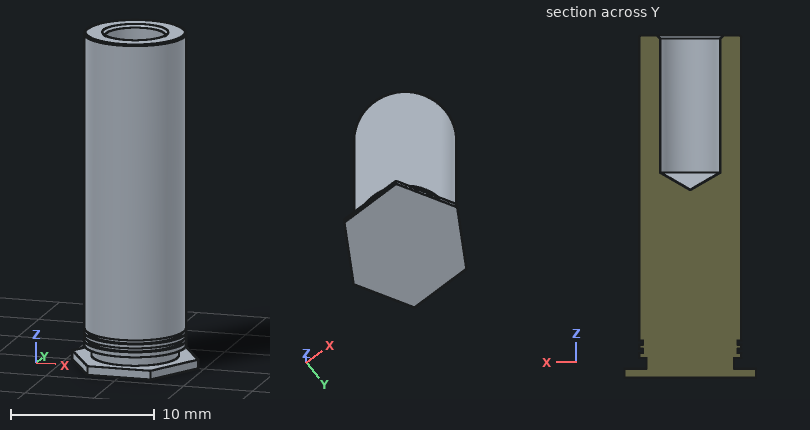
import cadquery as cq
import math

total_height = 23.8
body_diameter = 7.12
rim_chamfer = 0.1

hex_across_flats = 7.93
hex_thickness = 0.65

neck_diameter = 6.1
neck_top = 1.38
groove_diameter = 6.6
groove_width = 0.29
groove_pitch = 0.57
groove_count = 2
first_groove_bottom = 1.75

bore_diameter = 4.17
bore_depth = 9.52
bore_chamfer = 0.21
drill_point_angle = 120.0


def make_head():
    across_corners = hex_across_flats / math.cos(math.pi / 6)
    return cq.Workplane("XY").polygon(6, across_corners).extrude(hex_thickness)


def make_body():
    """Neck and barrel, with the outer top edge chamfered."""
    neck = cq.Workplane("XY").circle(neck_diameter / 2).extrude(neck_top)
    barrel = (
        cq.Workplane("XY", origin=(0, 0, neck_top))
        .circle(body_diameter / 2)
        .extrude(total_height - neck_top)
        .faces(">Z")
        .chamfer(rim_chamfer)
    )
    return neck.union(barrel)


def make_groove(bottom):
    return (
        cq.Workplane("XY", origin=(0, 0, bottom))
        .circle(body_diameter)
        .circle(groove_diameter / 2)
        .extrude(groove_width)
    )


def make_bore():
    """Half profile of the bore, revolved about Z."""
    radius = bore_diameter / 2
    shoulder = total_height - bore_depth
    point_depth = radius / math.tan(math.radians(drill_point_angle / 2))
    return (
        cq.Workplane("XZ")
        .moveTo(0, shoulder - point_depth)
        .lineTo(radius, shoulder)
        .lineTo(radius, total_height - bore_chamfer)
        .lineTo(radius + bore_chamfer, total_height)
        .lineTo(0, total_height)
        .close()
        .revolve(360, (0, 0, 0), (0, 1, 0))
    )


result = make_head().union(make_body())
for index in range(groove_count):
    result = result.cut(make_groove(first_groove_bottom + index * groove_pitch))
result = result.cut(make_bore())